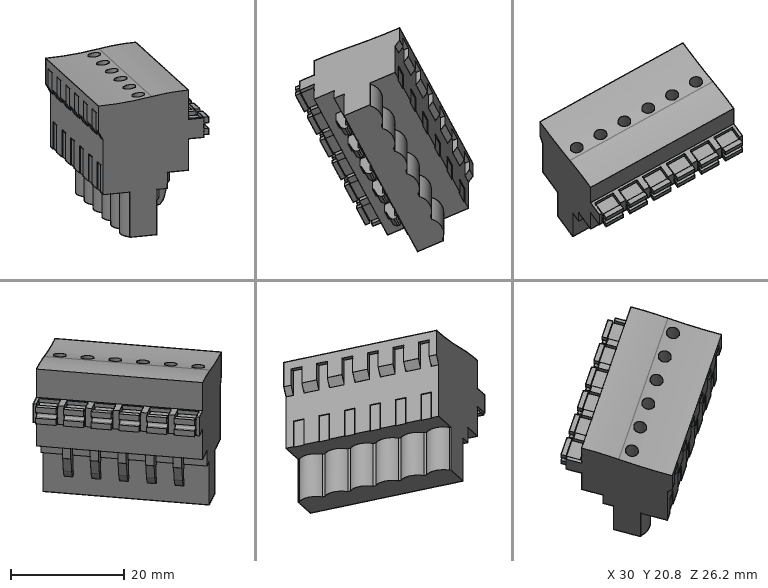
import cadquery as cq

POLES = 6
LENGTH = 30.0
PITCH = LENGTH / POLES

TOP_BACK_Z = 26.25
TOP_FRONT_Z = 24.9
BROW_Z = 20.1
BROW_SLOPE_Z = 18.5
SHOULDER_Z = 8.4
STEP_Z = 11.37

WALL_Y = 0.9
TOP_JOINT_Y = 9.9
BACK_Y = 16.77
TOP_JOINT_Z = TOP_FRONT_Z + (TOP_BACK_Z - TOP_FRONT_Z) * TOP_JOINT_Y / BACK_Y
STEP_Y = 12.85
PLUG_FRONT_Y = 5.85
PLUG_BACK_Y = 10.9

RIB_WIDTH = 4.5
RIB_HEIGHT = 0.95

BROW_SLOT_WIDTH = 2.1
BROW_SLOT_TOP_Z = 23.3
LOW_SLOT_WIDTH = 2.0
LOW_SLOT_TOP_Z = 13.45
LOW_SLOT_DEPTH = 0.18

HOLE_DIAMETER = 2.25
HOLE_Y = 8.22
HOLE_FLOOR_Z = 18.0

RAIL_Y = 19.65
RAIL_BOTTOM_Z = 17.2
RAIL_TOP_Z = 20.8
POCKET_Y = 17.22
POCKET_WIDTH = 3.8

BUTTON_WIDTH = 3.63
BUTTON_Y = 20.8
HEAD_Y = 19.85
HEAD_HEIGHT = 3.25
STEM_HEIGHT = 1.95
DRIVER_SLOT_HEIGHT = 1.05
DRIVER_SLOT_DEPTH = 1.05
BUTTON_Z = 19.08

LATCH_WIDTH = 1.5
LATCH_BACK_Y = 14.58
LATCH_LIP_Y = 14.35
LATCH_LIP_Z = 8.28
LATCH_BEND_Y = 13.68
LATCH_BEND_Z = 5.58
LATCH_ROOT_Y = 12.25
ARM_FRONT_Y = 12.63
ARM_FRONT_TOP_Z = 7.32
ARM_FRONT_BOTTOM_Z = 5.52
HOOK_FRONT_Y = 12.18
HOOK_TOP_Z = 5.07
TIP_BACK_Y = 12.75
TIP_FRONT_Y = 12.4
TIP_Z = 4.15
BEND_SAGITTA = 0.12
CURVE_SAGITTA = 0.1


def pole_x(index):
    """X of the middle of a pole."""
    return (index + 0.5) * PITCH


def extrude_along_x(profile, x_middle, width):
    """Extrude a closed YZ outline by width, centred on x_middle."""
    return profile.extrude(width).translate((x_middle - width / 2, 0, 0))


def block(x_middle, width, y_range, z_range):
    """Box centred on x_middle that fills the given Y and Z ranges."""
    size_y = y_range[1] - y_range[0]
    size_z = z_range[1] - z_range[0]
    box = cq.Workplane("XY").box(width, size_y, size_z, centered=(True, False, False))
    return box.translate((x_middle, y_range[0], z_range[0]))


def housing_shell():
    """Full-length body with the S-curved top, the brow, the plug and the back rail."""
    outline = (
        cq.Workplane("YZ")
        .moveTo(BACK_Y, TOP_BACK_Z)
        .lineTo(BACK_Y, RAIL_TOP_Z)
        .lineTo(RAIL_Y, RAIL_TOP_Z)
        .lineTo(RAIL_Y, RAIL_BOTTOM_Z)
        .lineTo(BACK_Y, RAIL_BOTTOM_Z)
        .lineTo(BACK_Y, STEP_Z)
        .lineTo(STEP_Y, STEP_Z)
        .lineTo(STEP_Y, SHOULDER_Z)
        .lineTo(PLUG_BACK_Y, SHOULDER_Z)
        .lineTo(PLUG_BACK_Y, 0)
        .lineTo(PLUG_FRONT_Y, 0)
        .lineTo(PLUG_FRONT_Y, SHOULDER_Z)
        .lineTo(WALL_Y, SHOULDER_Z)
        .lineTo(WALL_Y, BROW_SLOPE_Z)
        .lineTo(0, BROW_Z)
        .lineTo(0, TOP_FRONT_Z)
    )
    front_rise = TOP_JOINT_Z - TOP_FRONT_Z
    back_rise = TOP_BACK_Z - TOP_JOINT_Z
    front_radius = (TOP_JOINT_Y**2 + front_rise**2) / (2 * front_rise)
    back_radius = ((BACK_Y - TOP_JOINT_Y) ** 2 + back_rise**2) / (2 * back_rise)
    outline = (
        outline
        .radiusArc((TOP_JOINT_Y, TOP_JOINT_Z), -front_radius)
        .radiusArc((BACK_Y, TOP_BACK_Z), back_radius)
        .close()
    )
    return extrude_along_x(outline, LENGTH / 2, LENGTH)


def plug_rib(x_middle):
    """Rounded rib standing on the front face of the plug."""
    return (
        cq.Workplane("XY")
        .moveTo(x_middle - RIB_WIDTH / 2, PLUG_FRONT_Y)
        .sagittaArc((x_middle + RIB_WIDTH / 2, PLUG_FRONT_Y), -RIB_HEIGHT)
        .close()
        .extrude(SHOULDER_Z)
    )


def latch(x_middle):
    """Latch arm hanging in the back step, ending in a hook that points to the plug."""
    outline = (
        cq.Workplane("YZ")
        .moveTo(STEP_Y, STEP_Z)
        .lineTo(LATCH_BACK_Y, STEP_Z)
        .lineTo(LATCH_BACK_Y, SHOULDER_Z)
        .lineTo(LATCH_LIP_Y, LATCH_LIP_Z)
        .lineTo(LATCH_BEND_Y, LATCH_BEND_Z)
        .sagittaArc((TIP_BACK_Y, TIP_Z), BEND_SAGITTA)
        .lineTo(TIP_FRONT_Y, TIP_Z)
        .sagittaArc((HOOK_FRONT_Y, HOOK_TOP_Z), CURVE_SAGITTA)
        .sagittaArc((ARM_FRONT_Y, ARM_FRONT_BOTTOM_Z), -CURVE_SAGITTA)
        .lineTo(ARM_FRONT_Y, ARM_FRONT_TOP_Z)
        .sagittaArc((LATCH_ROOT_Y, SHOULDER_Z), CURVE_SAGITTA)
        .lineTo(STEP_Y, SHOULDER_Z)
        .close()
    )
    return extrude_along_x(outline, x_middle, LATCH_WIDTH)


def brow_slot(x_middle):
    """Slot through the brow, as deep as the front wall."""
    return block(x_middle, BROW_SLOT_WIDTH, (0, WALL_Y), (BROW_SLOPE_Z, BROW_SLOT_TOP_Z))


def low_slot(x_middle):
    """Shallow recess in the front wall, open at its lower end."""
    y_range = (WALL_Y, WALL_Y + LOW_SLOT_DEPTH)
    return block(x_middle, LOW_SLOT_WIDTH, y_range, (SHOULDER_Z, LOW_SLOT_TOP_Z))


def wire_hole(x_middle):
    """Blind hole from the top."""
    hole = cq.Workplane("XY").circle(HOLE_DIAMETER / 2).extrude(TOP_BACK_Z - HOLE_FLOOR_Z)
    return hole.translate((x_middle, HOLE_Y, HOLE_FLOOR_Z))


def button_pocket(x_middle):
    """Pocket through the rail from top to bottom, open at the back."""
    return block(x_middle, POCKET_WIDTH, (POCKET_Y, RAIL_Y), (RAIL_BOTTOM_Z, RAIL_TOP_Z))


def make_housing():
    body = housing_shell()
    for index in range(POLES):
        x_middle = pole_x(index)
        body = body.union(plug_rib(x_middle))
        body = body.cut(brow_slot(x_middle))
        body = body.cut(low_slot(x_middle))
        body = body.cut(wire_hole(x_middle))
        body = body.cut(button_pocket(x_middle))
    for index in range(1, POLES):
        body = body.union(latch(index * PITCH))
    return body


def make_button(x_middle):
    """Stem and taller head with a round-bottomed screwdriver slot across the head."""
    stem_z = (BUTTON_Z - STEM_HEIGHT / 2, BUTTON_Z + STEM_HEIGHT / 2)
    head_z = (BUTTON_Z - HEAD_HEIGHT / 2, BUTTON_Z + HEAD_HEIGHT / 2)
    stem = block(x_middle, BUTTON_WIDTH, (POCKET_Y, HEAD_Y), stem_z)
    head = block(x_middle, BUTTON_WIDTH, (HEAD_Y, BUTTON_Y), head_z)

    slot_radius = DRIVER_SLOT_HEIGHT / 2
    slot_floor_y = BUTTON_Y - DRIVER_SLOT_DEPTH
    round_y = slot_floor_y + slot_radius
    slot_outline = (
        cq.Workplane("YZ")
        .moveTo(BUTTON_Y, BUTTON_Z + slot_radius)
        .lineTo(round_y, BUTTON_Z + slot_radius)
        .threePointArc((slot_floor_y, BUTTON_Z), (round_y, BUTTON_Z - slot_radius))
        .lineTo(BUTTON_Y, BUTTON_Z - slot_radius)
        .close()
    )
    driver_slot = extrude_along_x(slot_outline, x_middle, BUTTON_WIDTH)
    return stem.union(head).cut(driver_slot)


housing = make_housing()
buttons = [make_button(pole_x(index)) for index in range(POLES)]
result = cq.Compound.makeCompound([housing.val(), *[button.val() for button in buttons]])